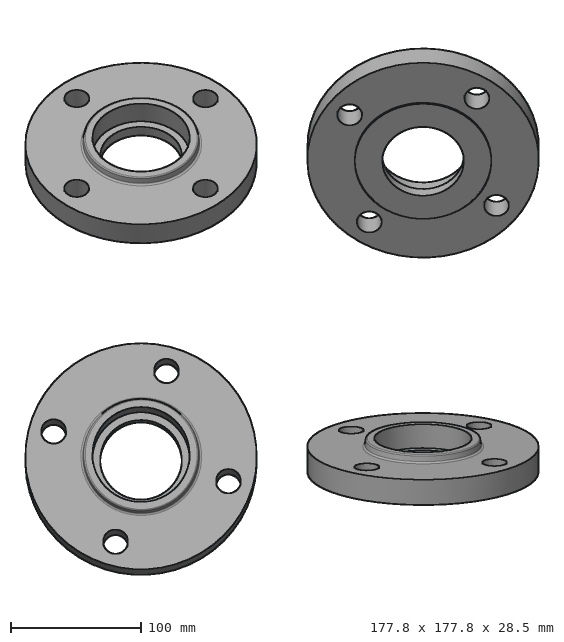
import cadquery as cq


flange_diameter = 177.8
flange_thickness = 20.5
raised_face_diameter = 104.9
raised_face_height = 1.6

hub_base_diameter = 90.0
hub_top_diameter = 87.8
hub_height = 6.4
hub_base_fillet = 1.6
hub_top_fillet = 1.0

bore_diameter = 62.5
socket_diameter = 74.7
socket_depth = 19.0

bolt_hole_count = 4
bolt_hole_diameter = 19.0
bolt_circle_diameter = 139.7

flange_top = raised_face_height + flange_thickness
total_height = flange_top + hub_height


def cylinder(diameter, bottom, height):
    """Upright cylinder on the Z axis."""
    return cq.Workplane("XY").workplane(offset=bottom).circle(diameter / 2).extrude(height)


def tapered_hub():
    """Solid cone on top of the flange, narrowing upward."""
    return (
        cq.Workplane("XY")
        .workplane(offset=flange_top)
        .circle(hub_base_diameter / 2)
        .workplane(offset=hub_height)
        .circle(hub_top_diameter / 2)
        .loft(combine=True)
    )


def blank():
    """Flange, raised face and hub, with the hub's foot and rim rounded."""
    raised_face = cylinder(raised_face_diameter, 0, raised_face_height)
    flange = cylinder(flange_diameter, raised_face_height, flange_thickness)
    body = raised_face.union(flange).union(tapered_hub())
    body = body.faces(">Z").edges().fillet(hub_top_fillet)
    hub_foot = cq.selectors.RadiusNthSelector(0)
    flange_top_face = body.faces("|Z").faces(">Z[-2]")
    return flange_top_face.edges(hub_foot).fillet(hub_base_fillet)


def stepped_bore():
    """Through bore with the wider socket opening at the hub end."""
    bore = cylinder(bore_diameter, 0, total_height)
    socket = cylinder(socket_diameter, total_height - socket_depth, socket_depth)
    return bore.union(socket)


def bolt_holes():
    """Through holes evenly spaced on the bolt circle, the first on +X."""
    return (
        cq.Workplane("XY")
        .polarArray(bolt_circle_diameter / 2, 0, 360, bolt_hole_count)
        .circle(bolt_hole_diameter / 2)
        .extrude(total_height)
    )


result = blank().cut(stepped_bore()).cut(bolt_holes())